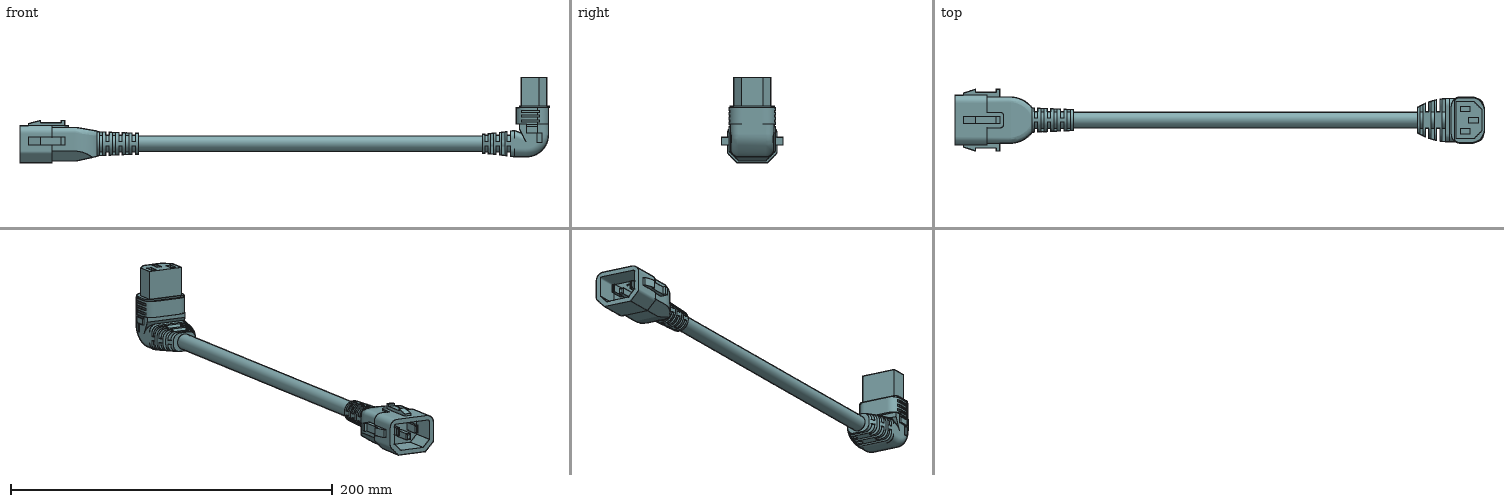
import cadquery as cq


EDGE_MARGIN = 0.3

CABLE_RADIUS = 5.0
RELIEF_CORE_RADIUS = 5.3
GROOVE_WIDTH = 2.0

SHELL_LENGTH = 20.0
SHELL_HALF_WIDTH = 15.5
SHELL_TOP = 11.2
SHELL_BOTTOM = -12.0
SHELL_CHAMFER = 6.0
SHELL_TOP_RADIUS = 5.0
SHELL_SIDE_RADIUS = 2.5
WALL = 3.0
CAVITY_DEPTH = 16.0
CAVITY_CHAMFER = 4.5
CAVITY_TOP_RADIUS = 1.3
SLIT_WIDTH = 6.0
SLIT_HEIGHT = 0.5
SLIT_DEPTH = 1.3
SLIT_Z = 6.3

LINE_PIN_FRONT = 5.3
GROUND_PIN_FRONT = 4.0
PIN_TIP_BEVEL = 0.5
LINE_PIN = (2.0, 5.0)
LINE_PIN_SPACING = 13.2
LINE_PIN_Z = 1.5
GROUND_PIN = (3.0, 4.0)
GROUND_PIN_Z = -2.0

LATCH_START = 5.3
LATCH_CREST = 13.0
LATCH_STOP_START = 25.7
LATCH_END = 28.0
LATCH_TOE = 1.3
TOP_LATCH_WIDTH = 4.3
TOP_LATCH_RISE = 3.3
TOP_LATCH_ARM = 2.0
SIDE_LATCH_WIDTH = 5.0
LATCH_SPAN = 38.5
SIDE_LATCH_RISE = LATCH_SPAN / 2 - SHELL_HALF_WIDTH
SIDE_LATCH_ARM = 2.0
SIDE_LATCH_Z = 1.5
TOP_TONGUE_END = 30.3
TOP_TONGUE_WIDTH = 9.5
TOP_TONGUE_RADIUS = 2.0

BOOT_STEP = 1.0
BOOT_TAPER_START = 35.0
BOOT_CURVE_START = 34.0
BOOT_CHAMFER = 6.3
BOOT_END = 48.0
BOOT_END_HALF_WIDTH = 7.5
BOOT_END_HALF_HEIGHT = 8.0
BOOT_TOP_RADIUS = 3.5
PLUG_RELIEF_END = 73.8
PLUG_RELIEF_START_RADIUS = 7.5
PLUG_RELIEF_END_RADIUS = 6.5
PLUG_GROOVE_START = 50.5
PLUG_GROOVE_END = 71.0
PLUG_GROOVES = 6
PLUG_WEB = 2.5

SOCKET_RELIEF_START = 287.7
ELBOW_START = 307.8
ELBOW_HALF_WIDTH = 13.5
ELBOW_HALF_HEIGHT = 8.2
SOCKET_RELIEF_STATIONS = [
    (SOCKET_RELIEF_START, 8.0, 6.0),
    (297.5, 12.2, 7.0),
    (ELBOW_START, ELBOW_HALF_WIDTH, ELBOW_HALF_HEIGHT),
]
RELIEF_EDGE_RADIUS = 4.5
SOCKET_GROOVE_START = 290.3
SOCKET_GROOVE_END = 304.2
SOCKET_GROOVES = 5
SOCKET_FLAT_WEB = 2.5
SOCKET_UPRIGHT_WEB = 10.0

ELBOW_BACK = 329.0
ELBOW_BEND_RADIUS = 14.0
ELBOW_FRONT = 310.8
ELBOW_EDGE_RADIUS = 5.0
ELBOW_TOP_RADIUS = 4.0
NOTCH_TIP = (312.0, 6.5)
NOTCH_TOP_Z = 9.2
PANEL_X = 323.3
PANEL_Z = 3.5
PANEL_WIDTH = 3.3
PANEL_HEIGHT = 6.0
PANEL_DEPTH = 0.5

COLLAR_FRONT = 308.8
COLLAR_HALF_WIDTH = 14.5
COLLAR_BOTTOM = 12.2
COLLAR_FRONT_RADIUS = 6.0
COLLAR_BACK_RADIUS = 8.0
FLANGE_BOTTOM = 22.5
FLANGE_TOP = 23.5
FLANGE_BACK = 329.5
FLANGE_HALF_WIDTH = 14.0
FLANGE_FRONT_RADIUS = 2.5
GRIP_PITCH = 3.0
GRIP_HEIGHT = 1.3
GRIP_DEPTH = 0.5
GRIP_ROWS = 4
GRIP_TOP_Z = 20.0
GRIP_END = 323.3
GRIP_PAD_FRONT = 315.0
GRIP_PAD_BACK = 322.0
GRIP_PAD_BOTTOM = 6.5

INSERT_FRONT = 311.8
INSERT_BACK = 328.0
INSERT_HALF_WIDTH = 11.5
INSERT_TOP = 41.2
INSERT_CHAMFER = 5.0
SLOT_LENGTH = 6.0
SLOT_WIDTH = 3.3
SLOT_DEPTH = 13.2
LINE_SLOT_X = 317.5
LINE_SLOT_Y = 7.0
GROUND_SLOT_X = 322.5


def box(x_range, y_range, z_range):
    """Axis-aligned box between the given limits."""
    size = [high - low for low, high in (x_range, y_range, z_range)]
    corner = (x_range[0], y_range[0], z_range[0])
    return cq.Workplane("XY").box(*size, centered=False).translate(corner)


def inlet_prism(start, length, half_width, bottom, top, chamfer):
    """Prism along X whose section is a rectangle with both lower corners cut at 45 degrees."""
    outline = [
        (-half_width, top),
        (half_width, top),
        (half_width, bottom + chamfer),
        (half_width - chamfer, bottom),
        (chamfer - half_width, bottom),
        (-half_width, bottom + chamfer),
    ]
    return cq.Workplane("YZ", origin=(start, 0, 0)).polyline(outline).close().extrude(length)


def latch(arm, rise, width):
    """Latch along X with its base on Z = 0: a ramp, a thin arm and a stop at the end."""
    outline = [
        (LATCH_START, 0),
        (LATCH_START, LATCH_TOE),
        (LATCH_CREST, rise),
        (LATCH_CREST, arm),
        (LATCH_STOP_START, arm),
        (LATCH_STOP_START, rise),
        (LATCH_END, rise),
        (LATCH_END, 0),
    ]
    return cq.Workplane("XZ").polyline(outline).close().extrude(width / 2, both=True)


def pin(front, size, y, z):
    """Blade contact with a bevelled tip, standing on the cavity floor."""
    width, height = size
    blade = box((front, CAVITY_DEPTH), (y - width / 2, y + width / 2), (z - height / 2, z + height / 2))
    return blade.faces("<X").chamfer(PIN_TIP_BEVEL)


def make_shell():
    """Plug shell with its contacts, three latches and the tongues under them."""
    shell = inlet_prism(0, SHELL_LENGTH, SHELL_HALF_WIDTH, SHELL_BOTTOM, SHELL_TOP, SHELL_CHAMFER)
    bevel_top = SHELL_BOTTOM + SHELL_CHAMFER
    side_corners = cq.selectors.BoxSelector(
        (0, -SHELL_HALF_WIDTH - EDGE_MARGIN, bevel_top - EDGE_MARGIN),
        (SHELL_LENGTH, SHELL_HALF_WIDTH + EDGE_MARGIN, bevel_top + EDGE_MARGIN),
    )
    shell = shell.edges(side_corners).edges("|X").fillet(SHELL_SIDE_RADIUS)
    shell = shell.faces(">Z").edges("|X").fillet(SHELL_TOP_RADIUS)
    cavity = inlet_prism(
        0, CAVITY_DEPTH, SHELL_HALF_WIDTH - WALL, SHELL_BOTTOM + WALL, SHELL_TOP - WALL, CAVITY_CHAMFER
    )
    shell = shell.cut(cavity.faces(">Z").edges("|X").fillet(CAVITY_TOP_RADIUS))
    slit = cq.Workplane("YZ", origin=(CAVITY_DEPTH, 0, SLIT_Z)).rect(SLIT_WIDTH, SLIT_HEIGHT)
    shell = shell.cut(slit.extrude(SLIT_DEPTH))

    for side in (-1, 1):
        shell = shell.union(pin(LINE_PIN_FRONT, LINE_PIN, side * LINE_PIN_SPACING / 2, LINE_PIN_Z))
    shell = shell.union(pin(GROUND_PIN_FRONT, GROUND_PIN, 0, GROUND_PIN_Z))

    half_tongue = TOP_TONGUE_WIDTH / 2
    top_tongue = box(
        (SHELL_LENGTH, TOP_TONGUE_END), (-half_tongue, half_tongue), (SHELL_TOP - BOOT_STEP, SHELL_TOP)
    )
    shell = shell.union(top_tongue.edges("|Z and >X").fillet(TOP_TONGUE_RADIUS))
    top_latch = latch(TOP_LATCH_ARM, TOP_LATCH_RISE, TOP_LATCH_WIDTH)
    shell = shell.union(top_latch.translate((0, 0, SHELL_TOP)))

    side_tongue = box(
        (SHELL_LENGTH, LATCH_END), (-SIDE_LATCH_WIDTH / 2, SIDE_LATCH_WIDTH / 2), (-BOOT_STEP, 0)
    )
    side_latch = latch(SIDE_LATCH_ARM, SIDE_LATCH_RISE, SIDE_LATCH_WIDTH).union(side_tongue)
    for side in (-1, 1):
        turned = side_latch.rotate((0, 0, 0), (1, 0, 0), -90 * side)
        shell = shell.union(turned.translate((0, side * SHELL_HALF_WIDTH, SIDE_LATCH_Z)))
    return shell


def relief_grooves(start, end, count, flat_web, upright_web, upright_first):
    """Grooves around a relief core, bridged in turn by an upright web and by a flat web."""
    pitch = (end - start) / (count - 1)
    reach = 2 * ELBOW_HALF_WIDTH
    grooves = cq.Workplane("XY")
    for index in range(count):
        x = start + index * pitch
        groove = cq.Workplane("YZ", origin=(x - GROOVE_WIDTH / 2, 0, 0))
        groove = groove.circle(reach).circle(RELIEF_CORE_RADIUS).extrude(GROOVE_WIDTH)
        upright = (index % 2 == 0) == upright_first
        web_size = (upright_web, 2 * reach) if upright else (2 * reach, flat_web)
        web = cq.Workplane("XY", origin=(x, 0, 0)).box(2 * GROOVE_WIDTH, *web_size)
        grooves = grooves.add(groove.cut(web))
    return grooves.combine()


def make_boot():
    """Plug boot: an inlet-shaped block narrowing to a ringed strain relief."""
    half_width = SHELL_HALF_WIDTH - BOOT_STEP
    top = SHELL_TOP - BOOT_STEP
    bottom = SHELL_BOTTOM + BOOT_STEP
    plan = (
        cq.Workplane("XY", origin=(0, 0, bottom))
        .moveTo(SHELL_LENGTH, 0)
        .lineTo(SHELL_LENGTH, half_width)
        .lineTo(BOOT_CURVE_START, half_width)
        .tangentArcPoint((BOOT_END, BOOT_END_HALF_WIDTH), relative=False)
        .lineTo(BOOT_END, 0)
        .mirrorX()
        .extrude(top - bottom)
    )
    side_outline = [
        (SHELL_LENGTH, bottom),
        (BOOT_TAPER_START, bottom),
        (BOOT_END, -BOOT_END_HALF_HEIGHT),
        (BOOT_END, BOOT_END_HALF_HEIGHT),
        (BOOT_TAPER_START, top),
        (SHELL_LENGTH, top),
    ]
    side = cq.Workplane("XZ").polyline(side_outline).close().extrude(half_width, both=True)
    block = plan.intersect(side)
    upper_edges = cq.selectors.BoxSelector(
        (SHELL_LENGTH + EDGE_MARGIN, -half_width - EDGE_MARGIN, BOOT_END_HALF_HEIGHT - EDGE_MARGIN),
        (BOOT_END - EDGE_MARGIN, half_width + EDGE_MARGIN, top + EDGE_MARGIN),
    )
    block = block.edges(upper_edges).edges("not(|Y)").fillet(BOOT_TOP_RADIUS)
    bevelled = inlet_prism(SHELL_LENGTH, BOOT_END - SHELL_LENGTH, half_width, bottom, top, BOOT_CHAMFER)
    block = block.intersect(bevelled)

    relief_profile = [
        (BOOT_END, 0),
        (BOOT_END, PLUG_RELIEF_START_RADIUS),
        (PLUG_RELIEF_END, PLUG_RELIEF_END_RADIUS),
        (PLUG_RELIEF_END, 0),
    ]
    relief = cq.Workplane("XY").polyline(relief_profile).close().revolve(360, (0, 0), (1, 0))
    grooves = relief_grooves(
        PLUG_GROOVE_START, PLUG_GROOVE_END, PLUG_GROOVES, PLUG_WEB, PLUG_WEB, True
    )
    return block.union(relief.cut(grooves))


def make_cable():
    """Round cable between the ends of the two strain reliefs."""
    length = SOCKET_RELIEF_START - PLUG_RELIEF_END
    return cq.Workplane("YZ", origin=(PLUG_RELIEF_END, 0, 0)).circle(CABLE_RADIUS).extrude(length)


def make_socket_relief():
    """Strain relief widening from the cable to the elbow."""
    sections = []
    for x, half_width, half_height in SOCKET_RELIEF_STATIONS:
        section = cq.Sketch().rect(2 * half_width, 2 * half_height).vertices().fillet(RELIEF_EDGE_RADIUS)
        sections.append(section.moved(cq.Location(cq.Vector(0, 0, x - SOCKET_RELIEF_START))))
    relief = cq.Workplane("YZ", origin=(SOCKET_RELIEF_START, 0, 0)).placeSketch(*sections).loft()
    grooves = relief_grooves(
        SOCKET_GROOVE_START,
        SOCKET_GROOVE_END,
        SOCKET_GROOVES,
        SOCKET_FLAT_WEB,
        SOCKET_UPRIGHT_WEB,
        False,
    )
    return relief.cut(grooves)


def make_elbow():
    """Bend from the relief up to the collar, notched inside the corner."""
    bend_x = ELBOW_BACK - ELBOW_BEND_RADIUS
    bend_z = ELBOW_BEND_RADIUS - ELBOW_HALF_HEIGHT
    diagonal = ELBOW_BEND_RADIUS * 0.5**0.5
    elbow = (
        cq.Workplane("XZ")
        .moveTo(ELBOW_START, -ELBOW_HALF_HEIGHT)
        .lineTo(bend_x, -ELBOW_HALF_HEIGHT)
        .threePointArc((bend_x + diagonal, bend_z - diagonal), (ELBOW_BACK, bend_z))
        .lineTo(ELBOW_BACK, COLLAR_BOTTOM)
        .lineTo(ELBOW_FRONT, COLLAR_BOTTOM)
        .lineTo(ELBOW_FRONT, NOTCH_TOP_Z)
        .lineTo(*NOTCH_TIP)
        .lineTo(ELBOW_START, ELBOW_HALF_HEIGHT)
        .close()
        .extrude(ELBOW_HALF_WIDTH, both=True)
    )
    y_reach = ELBOW_HALF_WIDTH + EDGE_MARGIN
    bend_edges = cq.selectors.BoxSelector(
        (ELBOW_START + EDGE_MARGIN, -y_reach, -ELBOW_HALF_HEIGHT - EDGE_MARGIN),
        (ELBOW_BACK + EDGE_MARGIN, y_reach, NOTCH_TIP[1]),
    )
    back_edges = cq.selectors.BoxSelector(
        (ELBOW_BACK - EDGE_MARGIN, -y_reach, bend_z), (ELBOW_BACK + EDGE_MARGIN, y_reach, COLLAR_BOTTOM)
    )
    top_edges = cq.selectors.BoxSelector(
        (ELBOW_START + EDGE_MARGIN, -y_reach, NOTCH_TIP[1]), (ELBOW_FRONT, y_reach, ELBOW_HALF_HEIGHT)
    )
    outer_edges = elbow.edges(bend_edges + back_edges).edges("not(|Y)")
    elbow = outer_edges.fillet(ELBOW_EDGE_RADIUS)
    elbow = elbow.edges(top_edges).edges("not(|Y)").fillet(ELBOW_TOP_RADIUS)
    for side in (-1, 1):
        panel = cq.Workplane("XY").box(PANEL_WIDTH, 2 * PANEL_DEPTH, PANEL_HEIGHT)
        elbow = elbow.cut(panel.translate((PANEL_X, side * ELBOW_HALF_WIDTH, PANEL_Z)))
    return elbow


def make_collar():
    """Rounded collar with grip grooves on both sides, and the flange above it."""
    y_range = (-COLLAR_HALF_WIDTH, COLLAR_HALF_WIDTH)
    collar = box((COLLAR_FRONT, ELBOW_BACK), y_range, (COLLAR_BOTTOM, FLANGE_BOTTOM))
    collar = collar.edges("|Z and <X").fillet(COLLAR_FRONT_RADIUS)
    collar = collar.edges("|Z and >X").fillet(COLLAR_BACK_RADIUS)
    collar = collar.union(box((GRIP_PAD_FRONT, GRIP_PAD_BACK), y_range, (GRIP_PAD_BOTTOM, FLANGE_BOTTOM)))
    for row in range(GRIP_ROWS):
        z = GRIP_TOP_Z - row * GRIP_PITCH
        for side in (-1, 1):
            y_limits = sorted((side * COLLAR_HALF_WIDTH, side * (COLLAR_HALF_WIDTH - GRIP_DEPTH)))
            grip = box((COLLAR_FRONT, GRIP_END), y_limits, (z - GRIP_HEIGHT / 2, z + GRIP_HEIGHT / 2))
            collar = collar.cut(grip)
    flange_width = (-FLANGE_HALF_WIDTH, FLANGE_HALF_WIDTH)
    flange = box((ELBOW_FRONT, FLANGE_BACK), flange_width, (FLANGE_BOTTOM, FLANGE_TOP))
    flange = flange.edges("|Z and >X").fillet(COLLAR_BACK_RADIUS)
    flange = flange.edges("|Z and <X").fillet(FLANGE_FRONT_RADIUS)
    return collar.union(flange)


def make_insert():
    """Socket insert with two cut corners and three contact slots."""
    y_range = (-INSERT_HALF_WIDTH, INSERT_HALF_WIDTH)
    insert = box((INSERT_FRONT, INSERT_BACK), y_range, (FLANGE_TOP, INSERT_TOP))
    insert = insert.edges("|Z and >X").chamfer(INSERT_CHAMFER)
    slot_centres = [(LINE_SLOT_X, -LINE_SLOT_Y), (LINE_SLOT_X, LINE_SLOT_Y), (GROUND_SLOT_X, 0)]
    slots = cq.Workplane("XY", origin=(0, 0, INSERT_TOP)).pushPoints(slot_centres)
    return insert.cut(slots.rect(SLOT_LENGTH, SLOT_WIDTH).extrude(-SLOT_DEPTH))


def make_socket():
    """Angled socket as one moulded body."""
    return make_elbow().union(make_socket_relief()).union(make_collar()).union(make_insert())


shell = make_shell()
boot = make_boot()
cable = make_cable()
socket = make_socket()

result = cq.Compound.makeCompound([shell.val(), boot.val(), cable.val(), socket.val()])